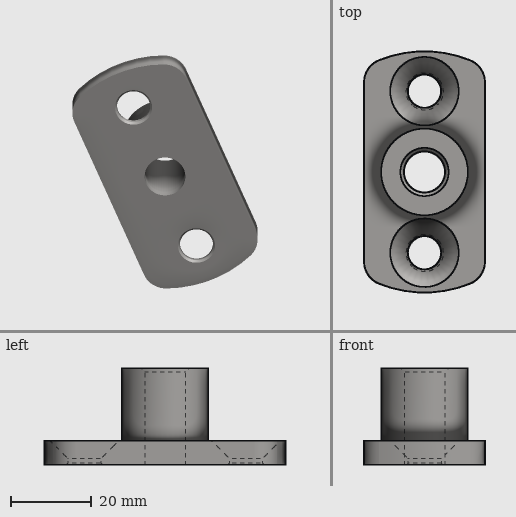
import cadquery as cq

plate_length = 59.8
plate_width = 30.0
plate_thickness = 6.0
corner_radius = 6.0

total_height = 24.0
boss_diameter = 21.5
bore_diameter = 10.1
bore_mouth_diameter = 11.95

hole_spacing = 40.0
hole_diameter = 8.2
countersink_diameter = 17.0
countersink_angle = 90.0
hole_exit_chamfer = 0.5


def make_plate():
    disc = cq.Workplane("XY").circle(plate_length / 2).extrude(plate_thickness)
    strip = cq.Workplane("XY").rect(plate_width, plate_length).extrude(plate_thickness)
    return disc.intersect(strip).edges("|Z").fillet(corner_radius)


def add_boss(body):
    boss = cq.Workplane("XY").circle(boss_diameter / 2).extrude(total_height)
    return body.union(boss)


def cut_bore(body):
    mouth_chamfer = (bore_mouth_diameter - bore_diameter) / 2
    bored = body.faces(">Z").workplane(origin=(0, 0, total_height)).hole(bore_diameter)
    return bored.faces(">Z").edges("%CIRCLE").edges(
        cq.selectors.RadiusNthSelector(0)
    ).chamfer(mouth_chamfer)


def cut_mounting_holes(body):
    plate_top = cq.Workplane("XY", origin=(0, 0, plate_thickness))
    hole_centres = [(0, -hole_spacing / 2), (0, hole_spacing / 2)]
    drilled = (
        body.copyWorkplane(plate_top)
        .pushPoints(hole_centres)
        .cskHole(hole_diameter, countersink_diameter, countersink_angle)
    )
    for x, y in hole_centres:
        exit_cone = cq.Solid.makeCone(
            hole_diameter / 2 + hole_exit_chamfer,
            hole_diameter / 2,
            hole_exit_chamfer,
            pnt=cq.Vector(x, y, 0),
        )
        drilled = drilled.cut(cq.Workplane(exit_cone))
    return drilled


plate = make_plate()
plate_with_boss = add_boss(plate)
bored_body = cut_bore(plate_with_boss)
result = cut_mounting_holes(bored_body)